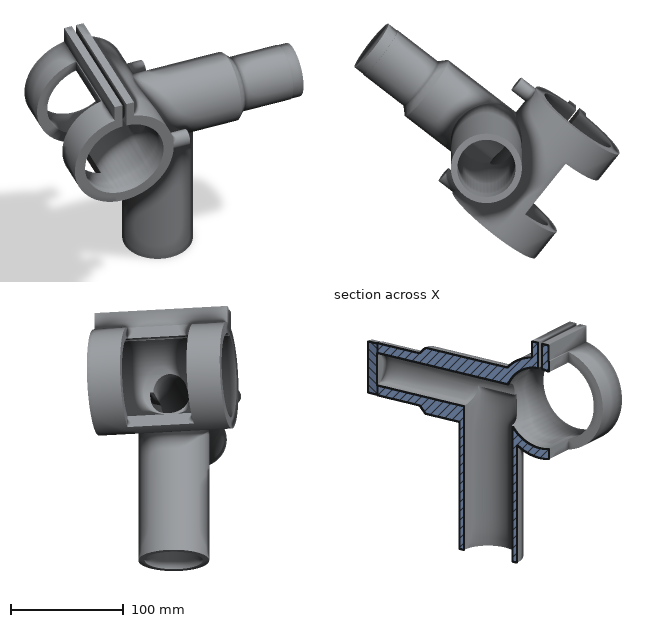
import cadquery as cq

clamp_width = 120.0
clamp_radius = 47.5
clamp_bore_radius = 37.5
ear_thickness = 7.2
ear_top = 61.9
split_gap = 4.0

window_width = 60.0
window_back_y = -10.0

pipe_radius = 31.5
pipe_start_y = 11.7
shoulder_end_y = 130.3
spigot_radius = 25.0
spigot_end_y = 176.0
down_pipe_y = 56.0
down_pipe_bottom = -151.8
down_bore_radius = 26.0
pipe_bore_radius = 15.2
shoulder_chamfer = pipe_radius - spigot_radius

peg_radius = 7.2
peg_offset_x = 52.3
peg_end_y = 63.3

cap_radius = 24.5
cap_length = 10.0


def cylinder_x(radius, length):
    """Cylinder along X, centred on the origin."""
    plane = cq.Plane(origin=(-length / 2, 0, 0), xDir=(0, -1, 0), normal=(1, 0, 0))
    return cq.Workplane(plane).circle(radius).extrude(length)


def cylinder_y(radius, start_y, end_y, x=0):
    """Cylinder along +Y at height zero."""
    plane = cq.Plane(origin=(x, start_y, 0), xDir=(0, 0, 1), normal=(0, 1, 0))
    return cq.Workplane(plane).circle(radius).extrude(end_y - start_y)


def cylinder_down(radius):
    """Cylinder on the down pipe's axis, from height zero to the pipe's open end."""
    plane = cq.Plane(origin=(0, down_pipe_y, 0), xDir=(0, -1, 0), normal=(0, 0, -1))
    return cq.Workplane(plane).circle(radius).extrude(-down_pipe_bottom)


def make_clamp_blank():
    """Solid clamp cylinder with the ear block on top."""
    ear_block = cq.Workplane("XY").box(
        clamp_width, 2 * ear_thickness + split_gap, ear_top, centered=(True, True, False)
    )
    return cylinder_x(clamp_radius, clamp_width).union(ear_block)


def make_elbow_blank():
    """Both solid pipes, with the shoulder and the spigot."""
    pipe = cylinder_y(pipe_radius, pipe_start_y, shoulder_end_y).faces(">Y").chamfer(shoulder_chamfer)
    spigot = cylinder_y(spigot_radius, pipe_start_y, spigot_end_y)
    return pipe.union(spigot).union(cylinder_down(pipe_radius))


def make_split():
    """Slot that separates the two ears and opens into the clamp bore."""
    return cq.Workplane("XY").box(clamp_width, split_gap, ear_top, centered=(True, True, False))


def make_window():
    """Block that opens the front of the clamp between its two side bands."""
    depth = clamp_radius + window_back_y
    return cq.Workplane("XY").box(window_width, depth, 2 * clamp_radius).translate(
        (0, window_back_y - depth / 2, 0)
    )


def make_housing():
    housing = make_clamp_blank().union(make_elbow_blank())
    for side in (-1, 1):
        housing = housing.union(cylinder_y(peg_radius, pipe_start_y, peg_end_y, side * peg_offset_x))
    housing = housing.cut(cylinder_x(clamp_bore_radius, clamp_width))
    housing = housing.cut(make_split()).cut(make_window())
    housing = housing.cut(cylinder_down(down_bore_radius))
    return housing.cut(cylinder_y(pipe_bore_radius, 0, spigot_end_y))


def make_cap():
    return cylinder_y(cap_radius, spigot_end_y, spigot_end_y + cap_length)


housing = make_housing()
cap = make_cap()
result = cq.Compound.makeCompound([housing.solids().val(), cap.val()])